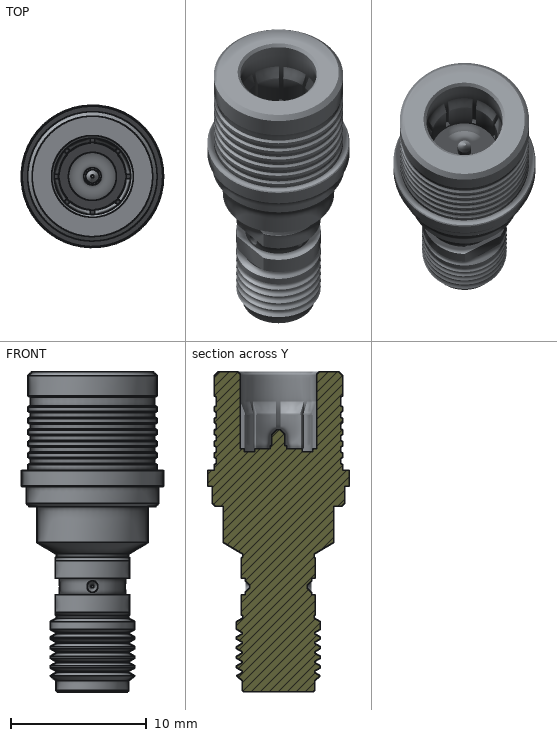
import cadquery as cq
import math

length = 23.63

thread_radius = 3.12
root_radius = 2.7
thread_pitch = 0.7
crest_width = 0.15
crest_count = 4
first_crest_top = 4.06
sharp_crest_height = 1.2
pilot_radius = root_radius
pilot_top = 0.85
pilot_chamfer = 0.15
flank_height = (thread_radius - root_radius) * math.tan(math.radians(30))

ring_bottom = 4.63
ring_top = 5.2

nut_radius = thread_radius
neck_radius = 2.67
nut_chamfer_height = 0.25
lower_nut_bottom = 5.9
lower_nut_top = 7.18
upper_nut_bottom = 8.4
upper_nut_top = 9.7
flat_distance = 2.75
waist_radius = 2.45

dimple_count = 4
dimple_height = (lower_nut_top + upper_nut_bottom) / 2
dimple_mouth_radius = 0.43
dimple_tip_radius = 0.106
dimple_depth = dimple_mouth_radius - dimple_tip_radius

cone_bottom = 10.18
body_radius = 4.1
body_bottom = 11.04
skirt_radius = 4.9
skirt_bottom = 13.68
skirt_chamfer = 0.24
flange_radius = 5.25
flange_bottom = 15.15
flange_top = 16.38
flange_chamfer = 0.07

sleeve_radius = 4.77
groove_radius = 4.6
fin_pitch = 0.85
fin_count = 5
fin_width = 0.28
fin_slope_height = 0.12
first_fin_top = 21.0
head_bottom = 21.85
head_chamfer_radial = 0.33
head_chamfer_height = 0.3

socket_radius = 2.81
socket_chamfer = 0.2
collet_top = 21.4
collet_radius = 2.45
collet_cone_height = 0.87
collet_lip_height = 0.12
collet_bore_radius = 2.5
socket_floor = 17.72
slot_count = 8
slot_width = 0.33
slot_floor = 17.95

insulator_radius = 1.77
insulator_height = 0.24
pin_shoulder_radius = 0.64
pin_shoulder_height = 0.24
pin_radius = 0.5
pin_length = 1.42
pin_tip_radius = 0.106
pin_tip_height = pin_radius - pin_tip_radius


def revolve_profile(points):
    """Revolve a closed (radius, height) outline about the Z axis."""
    return cq.Workplane("XZ").polyline(points).close().revolve(360, (0, 0), (0, 1))


def jack_outline():
    """Pilot, thread crests and shoulder ring, from the bottom up."""
    points = [
        (0, 0),
        (pilot_radius - pilot_chamfer, 0),
        (pilot_radius, pilot_chamfer),
        (pilot_radius, pilot_top),
        (thread_radius, sharp_crest_height),
        (root_radius, sharp_crest_height + flank_height),
    ]
    for index in reversed(range(crest_count)):
        crest_top = first_crest_top - index * thread_pitch
        crest_bottom = crest_top - crest_width
        points += [
            (root_radius, crest_bottom - flank_height),
            (thread_radius, crest_bottom),
            (thread_radius, crest_top),
            (root_radius, crest_top + flank_height),
        ]
    points += [
        (root_radius, ring_bottom - flank_height),
        (thread_radius, ring_bottom),
        (thread_radius, ring_top),
        (neck_radius, ring_top + nut_chamfer_height),
    ]
    return points


def wrench_outline():
    """Two chamfered nuts with a waist between them."""
    return [
        (neck_radius, lower_nut_bottom - nut_chamfer_height),
        (nut_radius, lower_nut_bottom),
        (nut_radius, lower_nut_top),
        (waist_radius, lower_nut_top),
        (waist_radius, upper_nut_bottom),
        (nut_radius, upper_nut_bottom),
        (nut_radius, upper_nut_top),
        (neck_radius, upper_nut_top + nut_chamfer_height),
    ]


def plug_outline():
    """Cone, body, skirt, flange and finned sleeve."""
    points = [
        (neck_radius, cone_bottom),
        (body_radius, body_bottom),
        (body_radius, skirt_bottom),
        (skirt_radius - skirt_chamfer, skirt_bottom),
        (skirt_radius, skirt_bottom + skirt_chamfer),
        (skirt_radius, flange_bottom),
        (flange_radius - flange_chamfer, flange_bottom),
        (flange_radius, flange_bottom + flange_chamfer),
        (flange_radius, flange_top - flange_chamfer),
        (flange_radius - flange_chamfer, flange_top),
        (sleeve_radius, flange_top),
    ]
    collar_top = first_fin_top - fin_count * fin_pitch
    points += [
        (sleeve_radius, collar_top),
        (groove_radius, collar_top + fin_slope_height),
    ]
    for index in reversed(range(fin_count)):
        fin_top = first_fin_top - index * fin_pitch
        fin_bottom = fin_top - fin_width
        points += [
            (groove_radius, fin_bottom - fin_slope_height),
            (sleeve_radius, fin_bottom),
            (sleeve_radius, fin_top),
            (groove_radius, fin_top + fin_slope_height),
        ]
    points += [
        (groove_radius, head_bottom - fin_slope_height),
        (sleeve_radius, head_bottom),
        (sleeve_radius, length - head_chamfer_height),
        (sleeve_radius - head_chamfer_radial, length),
    ]
    return points


def socket_outline():
    """Open socket narrowing to the collet lip and bore, around the insulator and stepped pin."""
    insulator_top = socket_floor + insulator_height
    shoulder_top = insulator_top + pin_shoulder_height
    pin_top = insulator_top + pin_length
    lip_top = collet_top - collet_cone_height
    lip_bottom = lip_top - collet_lip_height
    return [
        (socket_radius + socket_chamfer, length),
        (socket_radius, length - socket_chamfer),
        (socket_radius, collet_top),
        (collet_radius, lip_top),
        (collet_radius, lip_bottom),
        (collet_bore_radius, lip_bottom),
        (collet_bore_radius, socket_floor),
        (insulator_radius, socket_floor),
        (insulator_radius, insulator_top),
        (pin_shoulder_radius, insulator_top),
        (pin_shoulder_radius, shoulder_top),
        (pin_radius, shoulder_top),
        (pin_radius, pin_top - pin_tip_height),
        (pin_tip_radius, pin_top),
        (0, pin_top),
    ]


def wrench_flats():
    """Material outside the two flats that face -X and +X."""
    bottom = lower_nut_bottom - nut_chamfer_height
    top = upper_nut_top + nut_chamfer_height
    band = cq.Workplane("XY").workplane(offset=bottom).circle(2 * nut_radius).extrude(top - bottom)
    kept = cq.Workplane("XY").box(2 * flat_distance, 4 * nut_radius, length, centered=(True, True, False))
    return band.cut(kept)


def dimple():
    """Cone pointing inwards from the waist surface on the +X side."""
    cone = cq.Solid.makeCone(
        dimple_tip_radius,
        dimple_mouth_radius,
        dimple_depth,
        pnt=cq.Vector(waist_radius - dimple_depth, 0, dimple_height),
        dir=cq.Vector(1, 0, 0),
    )
    return cq.Workplane(obj=cone)


def collet_slots():
    """Radial slots that split the collet out to the socket wall."""
    blank = cq.Workplane("XY").workplane(offset=slot_floor)
    blank = blank.circle(socket_radius).circle(collet_radius).extrude(collet_top - slot_floor)
    bars = cq.Workplane("XY").workplane(offset=slot_floor)
    bars = bars.polarArray(socket_radius, 0, 360, slot_count).rect(socket_radius, slot_width)
    return blank.intersect(bars.extrude(collet_top - slot_floor))


result = revolve_profile(jack_outline() + wrench_outline() + plug_outline() + socket_outline())
result = result.cut(wrench_flats())
for index in range(dimple_count):
    result = result.cut(dimple().rotate((0, 0, 0), (0, 0, 1), index * 360 / dimple_count))
result = result.cut(collet_slots())